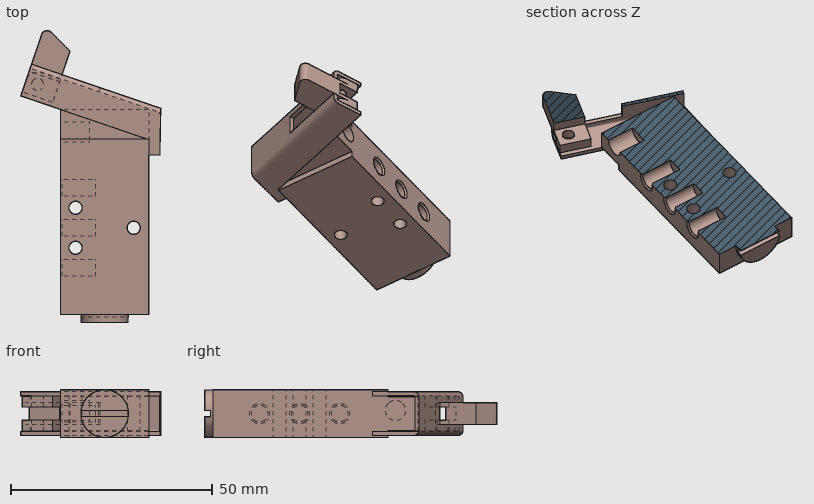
import cadquery as cq
import math

block_width = 22.0
block_length = 43.6
block_height = 12.0
neck_end = 51.0
neck_height = 8.5

plug_diameter = 11.8
plug_projection = 2.0
plug_slot_width = 1.5
plug_slot_depth = 1.45

mount_diameter = 3.2
mount_pitch = 9.95
mount_middle_y = 21.6
mount_left_x = 3.8
mount_right_x = 18.2

port_diameter = 4.15
port_mouth_diameter = 5.0
port_depth = 8.7
neck_port_diameter = 5.0
neck_port_y = 45.4
neck_port_z = 0.8
neck_port_depth = 7.25

tilt = 18.8
lever_x = -9.9
lever_y = 54.3
lever_depth = 8.35
lever_height = 11.0
sheet = 1.1
bend_radius = 1.45
lever_end_x = 25.0
lug_end_x = 24.75
lug_end_y = 39.65
window_length = 18.0

pawl_width = 8.05
pawl_head_height = 5.5
pawl_tail_height = 8.65
pawl_front = 1.1
pivot_offset = 3.05
pivot_y = 4.1
pivot_diameter = 3.0
fork_gap = 3.3
fork_bottom = 6.45
nose_x = 2.3
nose_y = 65.5
tip_radius = 1.45

cos_tilt = math.cos(math.radians(tilt))
sin_tilt = math.sin(math.radians(tilt))


def to_world(along, across):
    """Convert a point of the tilted lever frame to block X and Y."""
    return (
        lever_x + along * cos_tilt + across * sin_tilt,
        lever_y - along * sin_tilt + across * cos_tilt,
    )


def to_lever(x, y):
    """Convert block X and Y to the tilted lever frame."""
    dx = x - lever_x
    dy = y - lever_y
    return dx * cos_tilt - dy * sin_tilt, dx * sin_tilt + dy * cos_tilt


def place_in_lever(body):
    """Move a body from the tilted lever frame to its place on the block."""
    return body.rotate((0, 0, 0), (0, 0, 1), -tilt).translate((lever_x, lever_y, 0))


def corner_box(x0, x1, y0, y1, height):
    """Box between two X and two Y limits, centred on Z = 0."""
    box = cq.Workplane("XY").box(x1 - x0, y1 - y0, height)
    return box.translate(((x0 + x1) / 2, (y0 + y1) / 2, 0))


def side_hole(diameter, depth, y, z):
    """Cutter for a blind hole entering the left side."""
    return cq.Workplane("YZ").center(y, z).circle(diameter / 2).extrude(depth)


def make_block():
    block = corner_box(0, block_width, 0, block_length, block_height)
    block = block.union(corner_box(0, block_width, block_length, neck_end, neck_height))

    plug = cq.Workplane("XZ").center(block_width / 2, 0).circle(plug_diameter / 2).extrude(plug_projection)
    slot = corner_box(0, block_width, -plug_projection, plug_slot_depth - plug_projection, plug_slot_width)
    block = block.union(plug.cut(slot))

    mount_points = [
        (mount_left_x, mount_middle_y - mount_pitch / 2),
        (mount_left_x, mount_middle_y + mount_pitch / 2),
        (mount_right_x, mount_middle_y),
    ]
    mounts = cq.Workplane("XY").pushPoints(mount_points).circle(mount_diameter / 2)
    block = block.cut(mounts.extrude(block_height, both=True))

    mouth_chamfer = (port_mouth_diameter - port_diameter) / 2
    for step in (-1, 0, 1):
        port_y = mount_middle_y + step * mount_pitch
        block = block.cut(side_hole(port_diameter, port_depth, port_y, 0))
        mouth = cq.Solid.makeCone(
            port_mouth_diameter / 2,
            port_diameter / 2,
            mouth_chamfer,
            pnt=cq.Vector(0, port_y, 0),
            dir=cq.Vector(1, 0, 0),
        )
        block = block.cut(cq.Workplane(mouth))
    return block.cut(side_hole(neck_port_diameter, neck_port_depth, neck_port_y, neck_port_z))


def make_lever():
    web_length = (lever_end_x - lever_x - lever_depth * sin_tilt) / cos_tilt
    edge_run = (lever_y - block_length) / sin_tilt
    flange_outline = [
        (lever_x, lever_y),
        to_world(0, lever_depth),
        to_world(web_length, lever_depth),
        (lug_end_x, lug_end_y),
        (block_width, lug_end_y),
        (block_width, block_length),
        to_world(edge_run, 0),
    ]
    plan = cq.Workplane("XY").polyline(flange_outline).close().extrude(lever_height / 2, both=True)

    sweep_length = 2 * web_length
    reach = 2 * lever_depth
    channel = corner_box(-lever_depth, sweep_length, -reach, lever_depth, lever_height)
    channel = channel.edges("|X and >Y").fillet(bend_radius)
    inside_height = lever_height - 2 * sheet
    inside = corner_box(-lever_depth, sweep_length, -reach, lever_depth - sheet, inside_height)
    inside = inside.edges("|X and >Y").fillet(bend_radius - sheet)
    window = corner_box(-lever_depth, window_length, 0, reach, pawl_head_height)

    web_end = corner_box(web_length, sweep_length, 0, reach, inside_height)
    return place_in_lever(channel.cut(inside).cut(window).cut(web_end)).intersect(plan)


def make_pawl():
    nose = to_lever(nose_x, nose_y)
    tip_y = nose[1] + pawl_width * math.tan(math.radians(45 - tilt))
    head_outline = [(0, pivot_y), (0, tip_y), (pawl_width, nose[1]), (pawl_width, pivot_y)]
    head = cq.Workplane("XY").polyline(head_outline).close().extrude(pawl_head_height / 2, both=True)
    head = head.edges("|Z and >Y").fillet(tip_radius)

    tail = corner_box(0, pawl_width, pawl_front, pivot_y + pivot_offset, pawl_tail_height)
    tail = tail.edges("|Z and >Y and <X").fillet(pivot_offset)
    fork = corner_box(0, pawl_width, 0, fork_bottom, fork_gap)
    pivot = cq.Workplane("XY").center(pivot_offset, pivot_y).circle(pivot_diameter / 2)
    pawl = head.union(tail).cut(fork).cut(pivot.extrude(pawl_tail_height, both=True))
    return place_in_lever(pawl)


block = make_block()
lever = make_lever()
pawl = make_pawl()
result = cq.Compound.makeCompound([block.val(), lever.val(), pawl.val()])